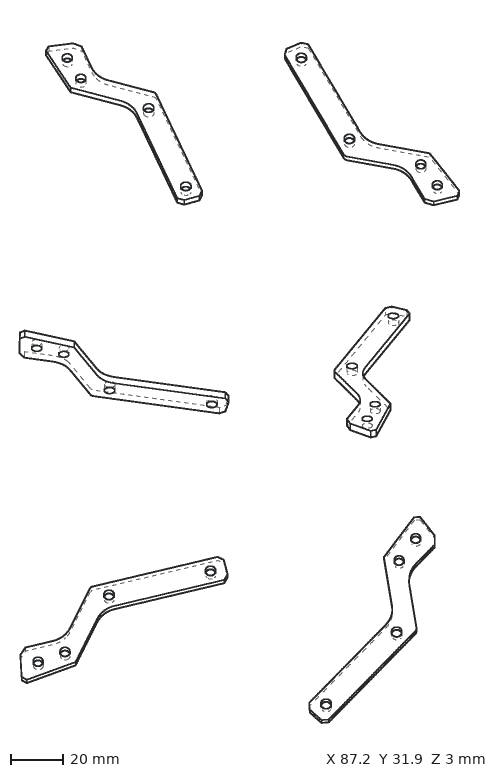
import cadquery as cq
import math

length = 87.2
width = 31.9
thickness = 3.0

arm_width = 10.1
arm_bottom = width - arm_width
arm_chamfer_x = 2.0
arm_top_chamfer_y = 1.8
arm_bottom_chamfer_y = 2.1
arm_end_taper = 0.2

link_angle = 51.0
link_top_x = 35.1
inner_bend_radius = 10.0
outer_bend_radius = 2.0

foot_top = 13.4
heel_x = 21.45
heel_y = 2.5
foot_top_chamfer_right = 4.5
foot_top_chamfer_left = 1.9
foot_top_chamfer_height = 2.5
foot_bottom_chamfer_x = 1.6
foot_bottom_chamfer_y = 1.7

arm_hole_diameter = 4.0
arm_hole_spacing = 40.0
arm_hole_end_distance = 6.1
foot_hole_diameter = 3.8
foot_hole_centers = [(7.7, 6.4), (18.7, 7.8)]

link_slope = math.tan(math.radians(link_angle))
arm_bend_x = heel_x + (arm_bottom - heel_y) / link_slope
foot_bend_x = link_top_x - (width - foot_top) / link_slope


def bend_edge(body, x, y, radius):
    """Round the vertical edge that passes through (x, y)."""
    return body.edges("|Z").edges(cq.NearestToPointSelector((x, y, thickness / 2))).fillet(radius)


def make_plate():
    chamfer_x = length - arm_chamfer_x
    outline = [
        (0, foot_bottom_chamfer_y),
        (foot_bottom_chamfer_x, 0),
        (heel_x, heel_y),
        (arm_bend_x, arm_bottom),
        (chamfer_x, arm_bottom),
        (length - arm_end_taper, arm_bottom + arm_bottom_chamfer_y),
        (length, width - arm_top_chamfer_y),
        (chamfer_x, width),
        (link_top_x, width),
        (foot_bend_x, foot_top),
        (foot_top_chamfer_right, foot_top),
        (foot_top_chamfer_left, foot_top - foot_top_chamfer_height),
    ]
    plate = cq.Workplane("XY").polyline(outline).close().extrude(thickness)
    plate = bend_edge(plate, arm_bend_x, arm_bottom, inner_bend_radius)
    plate = bend_edge(plate, foot_bend_x, foot_top, inner_bend_radius)
    return bend_edge(plate, link_top_x, width, outer_bend_radius)


def hole_pins(centers, diameter):
    return cq.Workplane("XY").pushPoints(centers).circle(diameter / 2).extrude(thickness)


arm_hole_y = width - arm_width / 2
outer_hole_x = length - arm_hole_end_distance
arm_hole_centers = [(outer_hole_x - arm_hole_spacing, arm_hole_y), (outer_hole_x, arm_hole_y)]

result = (
    make_plate()
    .cut(hole_pins(arm_hole_centers, arm_hole_diameter))
    .cut(hole_pins(foot_hole_centers, foot_hole_diameter))
)